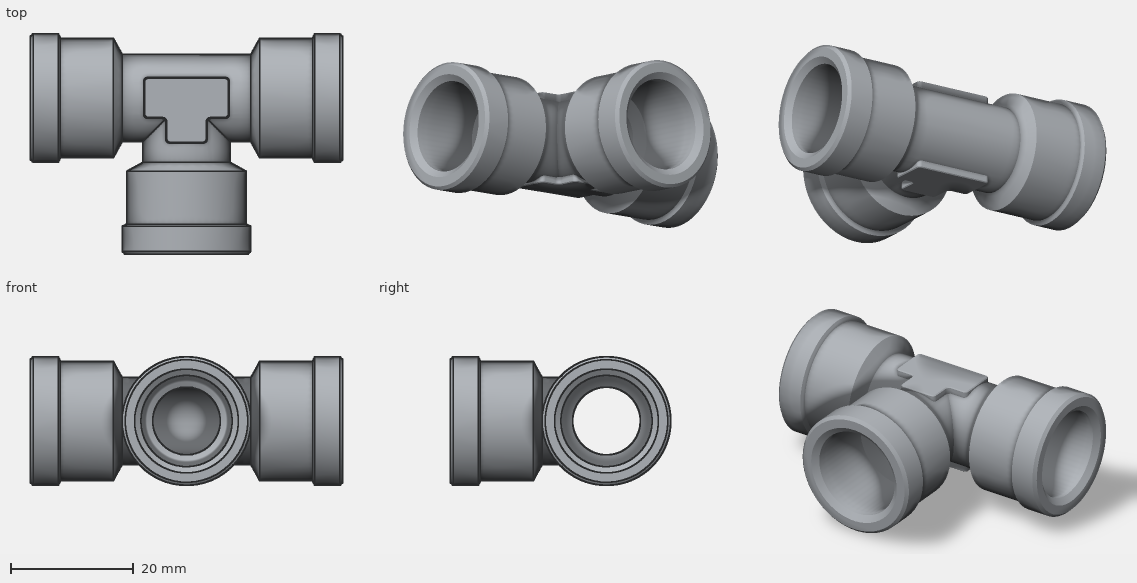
import cadquery as cq

overall_length = 51.0
arm_length = overall_length / 2

neck_radius = 7.15
body_radius = 9.75
collar_radius = 10.5
collar_length = 4.6
collar_step = 0.35
rim_chamfer = 0.5
body_end = 13.55
neck_end = 15.0

bore_radius = 5.5
socket_radius = 7.45
mouth_radius = 8.45
mouth_depth = 0.85
socket_depth = 12.75
socket_cone_length = 1.1

pad_top = 7.5
pad_width = 13.9
pad_back = 3.35
pad_shoulder = -3.3
pad_stem_width = 6.75
pad_front = -7.35
pad_corner_radius = 0.65
pad_edge_chamfer = 0.15

arm_angles = (0, 90, 180)


def revolve_arm(profile, angle):
    """Revolve (distance from centre, radius) points about the -X arm's axis, then turn it about Z."""
    points = [(-distance, radius) for distance, radius in profile]
    arm = cq.Workplane("XY").polyline(points).close().revolve(360, (0, 0, 0), (1, 0, 0))
    return arm.rotate((0, 0, 0), (0, 0, 1), angle)


def arm_outside(angle):
    collar_start = arm_length - collar_length
    profile = [
        (0, 0),
        (0, neck_radius),
        (arm_length - neck_end, neck_radius),
        (arm_length - body_end, body_radius),
        (collar_start - collar_step, body_radius),
        (collar_start, collar_radius),
        (arm_length - rim_chamfer, collar_radius),
        (arm_length, collar_radius - rim_chamfer),
        (arm_length, 0),
    ]
    return revolve_arm(profile, angle)


def arm_inside(angle):
    socket_floor = arm_length - socket_depth
    profile = [
        (0, 0),
        (0, bore_radius),
        (socket_floor - socket_cone_length, bore_radius),
        (socket_floor, socket_radius),
        (arm_length - mouth_depth, socket_radius),
        (arm_length, mouth_radius),
        (arm_length, 0),
    ]
    return revolve_arm(profile, angle)


def junction_pad():
    half_width = pad_width / 2
    half_stem = pad_stem_width / 2
    outline = [
        (-half_width, pad_back),
        (half_width, pad_back),
        (half_width, pad_shoulder),
        (half_stem, pad_shoulder),
        (half_stem, pad_front),
        (-half_stem, pad_front),
        (-half_stem, pad_shoulder),
        (-half_width, pad_shoulder),
    ]
    pad = cq.Workplane("XY").polyline(outline).close().extrude(pad_top)
    return pad.edges("|Z").fillet(pad_corner_radius).faces(">Z").edges().chamfer(pad_edge_chamfer)


top_pad = junction_pad()
bottom_pad = top_pad.mirror("XY")

result = top_pad.union(bottom_pad)
for arm_angle in arm_angles:
    result = result.union(arm_outside(arm_angle))
for arm_angle in arm_angles:
    result = result.cut(arm_inside(arm_angle))